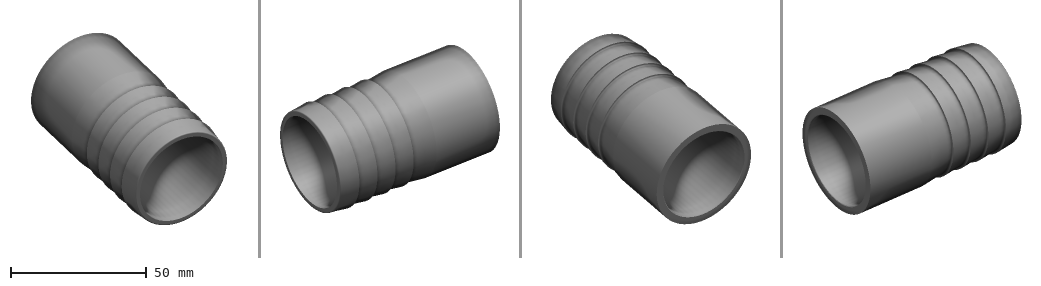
import cadquery as cq
import math

length = 70.0
outer_radius = 21.2
plain_length = 28.0

bore_radius = 18.05
bore_bevel = 0.2

barb_count = 4
barbed_length = 32.0
barb_pitch = barbed_length / barb_count
crest_radius = 21.0
root_radius = 20.0
edge_rounding = 0.5
radius_tolerance = 0.01

barbs_start = length - barbed_length
crest_positions = [barbs_start + index * barb_pitch for index in range(barb_count)]


def wall_section():
    """Half section of the wall: X runs along the tube axis, Z is the radius."""
    section = (
        cq.Workplane("XZ")
        .moveTo(bore_bevel, bore_radius)
        .lineTo(0, bore_radius + bore_bevel)
        .lineTo(0, outer_radius)
        .lineTo(plain_length, outer_radius)
    )
    for crest_x in crest_positions:
        section = section.lineTo(crest_x, root_radius).lineTo(crest_x, crest_radius)
    return section.lineTo(length, root_radius).lineTo(length, bore_radius).close()


def is_root_circle(edge):
    """True for the circles at the foot of every barb and around the tip of the tube."""
    return math.isclose(edge.radius(), root_radius, abs_tol=radius_tolerance)


sharp_body = wall_section().revolve(360, (0, 0, 0), (1, 0, 0))
result = sharp_body.edges("%CIRCLE").filter(is_root_circle).fillet(edge_rounding)